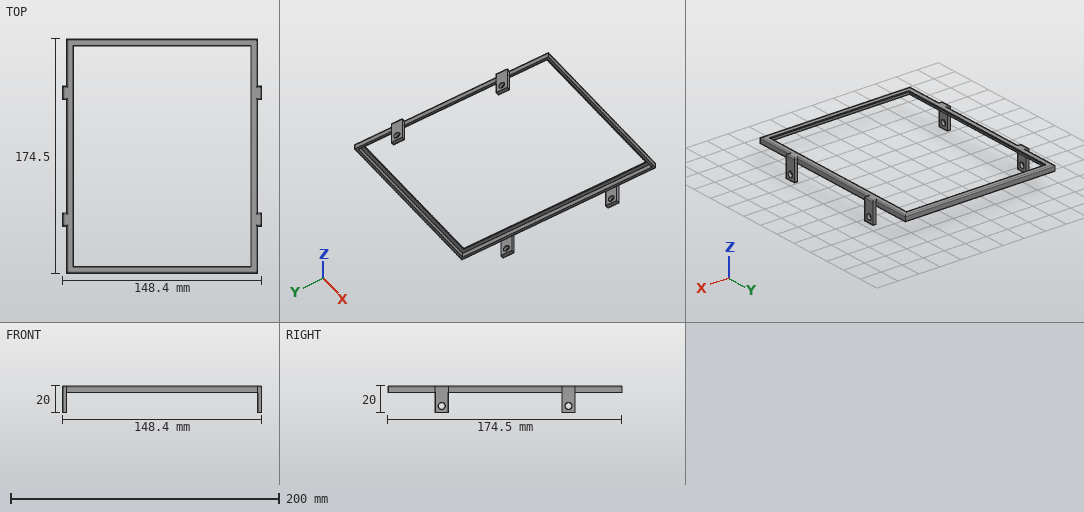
import cadquery as cq

OVERALL_X = 148.4
FRAME_Y = 174.5
OVERALL_Z = 20.0

RAIL_WIDTH = 5.0
RAIL_HEIGHT = 5.0
WALL_THICKNESS = 2.0
LIP_THICKNESS = 1.0
EDGE_RADIUS = 1.0

TAB_THICKNESS = 3.0
TAB_WIDTH = 10.0
TAB_SPACING = 94.5
HOLE_DIAMETER = 5.0
HOLE_HEIGHT = 5.0

FRAME_X = OVERALL_X - 2 * TAB_THICKNESS
OPENING_X = FRAME_X - 2 * RAIL_WIDTH
OPENING_Y = FRAME_Y - 2 * RAIL_WIDTH
RECESS_X = FRAME_X - 2 * WALL_THICKNESS
RECESS_Y = FRAME_Y - 2 * WALL_THICKNESS
FRAME_BOTTOM = OVERALL_Z - RAIL_HEIGHT
LIP_BOTTOM = OVERALL_Z - LIP_THICKNESS
TAB_CENTER_X = (OVERALL_X - TAB_THICKNESS) / 2
TAB_ROWS_Y = (-TAB_SPACING / 2, TAB_SPACING / 2)


def block(size_x, size_y, bottom, top):
    """Box centred on the Z axis between two heights."""
    return cq.Workplane("XY").workplane(offset=bottom).rect(size_x, size_y).extrude(top - bottom)


def make_tab(side, center_y):
    """Full-height tab against the outer face of a long rail."""
    return block(TAB_THICKNESS, TAB_WIDTH, 0, OVERALL_Z).translate((side * TAB_CENTER_X, center_y, 0))


def make_hole(center_y):
    """Cylinder along X that drills the two facing tabs at one Y position."""
    return (
        cq.Workplane("YZ")
        .center(center_y, HOLE_HEIGHT)
        .circle(HOLE_DIAMETER / 2)
        .extrude(OVERALL_X / 2, both=True)
    )


body = block(FRAME_X, FRAME_Y, FRAME_BOTTOM, OVERALL_Z)
for row_y in TAB_ROWS_Y:
    for side in (-1, 1):
        body = body.union(make_tab(side, row_y))
body = body.faces(">Z").edges().fillet(EDGE_RADIUS)

body = body.cut(block(OPENING_X, OPENING_Y, FRAME_BOTTOM, OVERALL_Z))
body = body.cut(block(RECESS_X, RECESS_Y, FRAME_BOTTOM, LIP_BOTTOM))

for row_y in TAB_ROWS_Y:
    body = body.cut(make_hole(row_y))

result = body